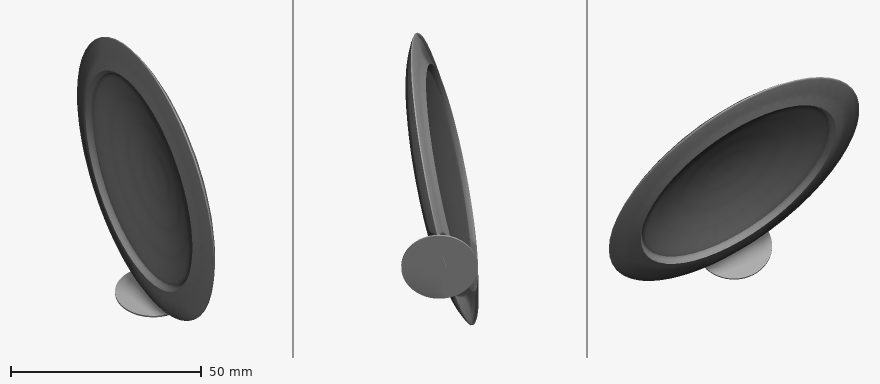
import cadquery as cq
import math

DISH_RADIUS = 39.015
BACK_CENTRE_Y = 3.82
BACK_SHOULDER_RADIUS = 25.0
BACK_SHOULDER_Y = 2.8
BACK_RIM_ANGLE = 35.0
RIM_Y = -1.55
RIM_ROUND = 0.35
FRONT_Y = -3.65
FRONT_MID_RADIUS = 35.0
FRONT_MID_Y = -2.65
FRONT_MOUTH_ANGLE = 14.0

RECESS_MOUTH_RADIUS = 30.4
RECESS_FLOOR_RADIUS = 29.1
FLOOR_EDGE_Y = -2.2
FLOOR_CENTRE_Y = 1.7

BASE_DIAMETER = 20.0
BASE_THICKNESS = 0.5
BASE_BOTTOM_Z = -38.93
BASE_X = 1.0


def floor_mid_point():
    """Point halfway along the radius on the spherical floor, as (radius, y)."""
    depth = FLOOR_CENTRE_Y - FLOOR_EDGE_Y
    sphere_radius = (RECESS_FLOOR_RADIUS**2 + depth**2) / (2 * depth)
    mid_radius = RECESS_FLOOR_RADIUS / 2
    mid_depth = sphere_radius - math.sqrt(sphere_radius**2 - mid_radius**2)
    return mid_radius, FLOOR_CENTRE_Y - mid_depth


def make_dish():
    """Turn the half profile, drawn on the -X side of the XY plane, about the Y axis."""
    rim_slope = math.radians(BACK_RIM_ANGLE)
    mouth_slope = math.radians(FRONT_MOUTH_ANGLE)
    floor_mid_radius, floor_mid_y = floor_mid_point()
    profile = (
        cq.Workplane("XY")
        .moveTo(0, BACK_CENTRE_Y)
        .spline(
            [(-BACK_SHOULDER_RADIUS, BACK_SHOULDER_Y), (-DISH_RADIUS, RIM_Y)],
            tangents=[(-1, 0), (-math.cos(rim_slope), -math.sin(rim_slope))],
            includeCurrent=True,
        )
        .spline(
            [
                (-DISH_RADIUS + RIM_ROUND, RIM_Y - RIM_ROUND),
                (-FRONT_MID_RADIUS, FRONT_MID_Y),
                (-RECESS_MOUTH_RADIUS, FRONT_Y),
            ],
            tangents=[(0, -1), (math.cos(mouth_slope), -math.sin(mouth_slope))],
            includeCurrent=True,
        )
        .lineTo(-RECESS_FLOOR_RADIUS, FLOOR_EDGE_Y)
        .threePointArc((-floor_mid_radius, floor_mid_y), (0, FLOOR_CENTRE_Y))
        .close()
    )
    return profile.revolve(360, (0, 0), (0, 1))


def make_base():
    """Thin round foot that the lowest part of the rim sinks into."""
    return (
        cq.Workplane("XY", origin=(BASE_X, 0, BASE_BOTTOM_Z))
        .circle(BASE_DIAMETER / 2)
        .extrude(BASE_THICKNESS)
    )


result = make_dish().union(make_base())